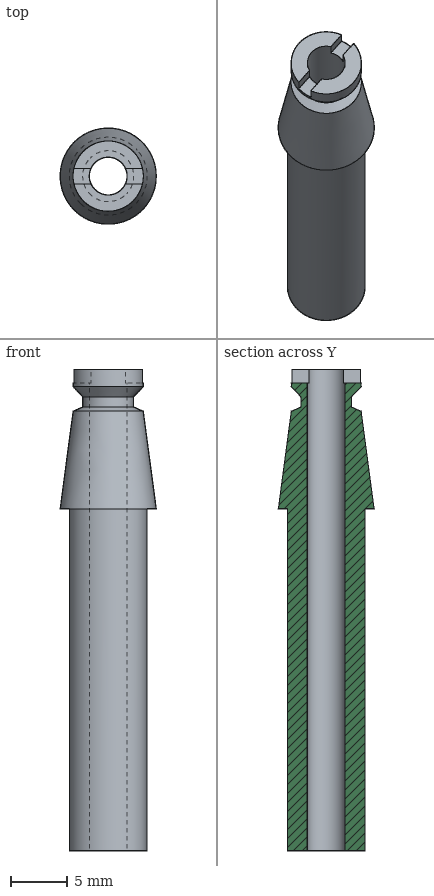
import cadquery as cq

total_height = 42.8

stem_diameter = 6.95
collar_diameter = 8.55
head_diameter = 6.25
neck_diameter = 4.55
bore_diameter = 3.35

head_height = 1.55
head_taper_height = 0.9
neck_height = 0.9
shoulder_height = 0.4
collar_height = 8.7

slot_width = 1.35
slot_depth = 1.2

head_bottom = total_height - head_height
neck_top = head_bottom - head_taper_height
neck_bottom = neck_top - neck_height
collar_top = neck_bottom - shoulder_height
collar_bottom = collar_top - collar_height


def turned_body():
    """Solid of revolution: stem, tapered collar, neck and head."""
    return (
        cq.Workplane("XZ")
        .lineTo(stem_diameter / 2, 0)
        .lineTo(stem_diameter / 2, collar_bottom)
        .lineTo(collar_diameter / 2, collar_bottom)
        .lineTo(head_diameter / 2, collar_top)
        .lineTo(neck_diameter / 2, neck_bottom)
        .lineTo(neck_diameter / 2, neck_top)
        .lineTo(head_diameter / 2, head_bottom)
        .lineTo(head_diameter / 2, total_height)
        .lineTo(0, total_height)
        .close()
        .revolve(360, (0, 0, 0), (0, 1, 0))
    )


def bore():
    """Axial hole through the full height."""
    return cq.Workplane("XY").circle(bore_diameter / 2).extrude(total_height)


def head_slot():
    """Straight slot cut down from the top face, open at both ends."""
    return (
        cq.Workplane("XY", origin=(0, 0, total_height))
        .rect(collar_diameter, slot_width)
        .extrude(-slot_depth)
    )


result = turned_body().cut(bore()).cut(head_slot())